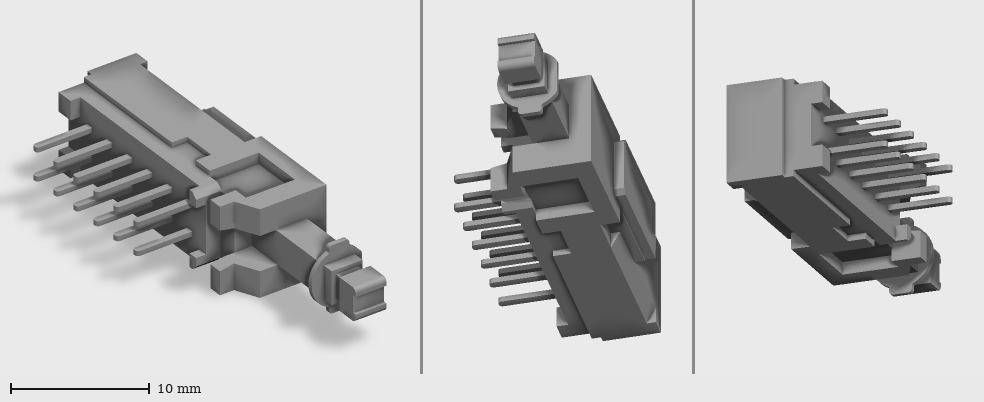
import cadquery as cq
import math


body_half_width = 7.5 / 2
cover_end = 16.25
cover_front = 2.25
cover_back = 7.25
cover_nose_length = 0.52
cover_nose_front = 2.92
cover_tab_length = 1.4
cover_bevel_start = 6.55
rear_opening_start = 11.5
notch_top = 3.6

frame_start = 14.5
frame_end = 22.65
frame_back = 8.03
pocket_end = 20.77
pocket_half_width = 2.8
gap_roof = 2.15
foot_start = 19.5
foot_end = 20.7
ramp_foot_y = 1.25
slot_half_width = 1.5
foot_taper = 0.23

base_half_width = 3.28
base_start = 0.52
base_end = 17.7
base_face = 0.88
base_corner_chamfer = 0.45
rear_foot_end = 2.0
rear_foot_inner = 1.62
front_foot_start = 16.9
front_foot_inner = 2.1

plate_start = 7.45
inner_plate_half_width = 2.5
outer_plate_half_width = 2.4
plate_back = 8.8
plate_chamfer = 0.4

pin_count = 6
first_pin_x = 3.2
pin_pitch = 2.5
pin_row_z = 1.25
pin_width = 0.62
pin_thickness = 0.42
pin_tip_y = -4.0
pin_tip_radius = 0.25

plunger_axis_y = 5.0
plunger_half_height = 1.35
plunger_half_width = 1.43
neck_start = 29.5
neck_end = 30.5
neck_half_height = 0.98
neck_half_width = 1.05
plunger_end = 32.5
tip_radius = 0.4
tip_notch_depth = 0.3
tip_notch_half_width = 0.75

clip_start = 28.1
clip_thickness = 0.42
clip_radius = 2.45
clip_flat_offset = 2.0
ear_half_height = 0.88
ear_reach = 2.9
ear_corner_radius = 0.25
ear_root_radius = 0.13


def block(x0, x1, y0, y1, z0, z1):
    """Axis-aligned box given by its limits."""
    return cq.Workplane("XY").box(x1 - x0, y1 - y0, z1 - z0, centered=False).translate((x0, y0, z0))


def slab(x0, x1, y0, y1, half_width):
    """Box centred on the symmetry plane."""
    return block(x0, x1, y0, y1, -half_width, half_width)


def prism_along_z(points, half_width):
    """Outline in X and Y, extruded evenly to both sides of Z = 0."""
    return cq.Workplane("XY").polyline(points).close().extrude(half_width, both=True)


def both_sides(solid):
    """The solid together with its mirror image in Z = 0."""
    return solid.union(solid.mirror("XY"))


def make_cover():
    cover = slab(0, cover_end, cover_front, cover_back, body_half_width)
    cover = cover.cut(slab(0, cover_nose_length, cover_front, cover_nose_front, body_half_width))
    bevel = (
        cq.Workplane("YZ")
        .polyline([
            (cover_bevel_start, body_half_width),
            (cover_back, body_half_width),
            (cover_back, inner_plate_half_width),
        ])
        .close()
        .extrude(rear_opening_start - cover_tab_length)
        .translate((cover_tab_length, 0, 0))
    )
    opening = block(
        rear_opening_start, frame_start, cover_bevel_start, cover_back,
        inner_plate_half_width, body_half_width,
    )
    notch = block(
        rear_opening_start, frame_start, cover_front, notch_top,
        base_half_width, body_half_width,
    )
    return cover.cut(both_sides(bevel.union(opening).union(notch)))


def make_frame():
    frame = prism_along_z(
        [
            (frame_start, cover_front),
            (foot_start, cover_front),
            (foot_start, 0),
            (foot_end, 0),
            (foot_end, ramp_foot_y),
            (frame_end, gap_roof),
            (frame_end, frame_back),
            (frame_start, frame_back),
        ],
        body_half_width,
    )
    pocket = block(
        cover_end, pocket_end, cover_front, cover_bevel_start,
        pocket_half_width, body_half_width,
    )
    frame = frame.cut(both_sides(pocket))
    frame = frame.union(slab(cover_end, foot_start, gap_roof, cover_front, pocket_half_width))
    slot_back = plunger_axis_y + plunger_half_height
    slot = (
        cq.Workplane("YZ")
        .polyline([
            (0, -slot_half_width - foot_taper),
            (ramp_foot_y, -slot_half_width),
            (slot_back, -slot_half_width),
            (slot_back, slot_half_width),
            (ramp_foot_y, slot_half_width),
            (0, slot_half_width + foot_taper),
        ])
        .close()
        .extrude(frame_end - foot_start)
        .translate((foot_start, 0, 0))
    )
    return frame.cut(slot)


def make_base():
    base = (
        slab(base_start, base_end, 0, cover_front, base_half_width)
        .edges("|Y and >X")
        .chamfer(base_corner_chamfer)
    )
    base = base.cut(slab(rear_foot_end, front_foot_start, 0, base_face, base_half_width))
    base = base.cut(slab(base_start, rear_foot_end, 0, base_face, rear_foot_inner))
    return base.cut(slab(front_foot_start, base_end, 0, base_face, front_foot_inner))


def make_back_plates():
    inner = slab(plate_start, frame_start, cover_bevel_start, frame_back, inner_plate_half_width)
    outer = (
        slab(plate_start, cover_end, frame_back, plate_back, outer_plate_half_width)
        .edges("|Y and >X")
        .chamfer(plate_chamfer)
    )
    return inner.union(outer)


def make_pin(x, z):
    pin = slab(-pin_width / 2, pin_width / 2, pin_tip_y, base_face, pin_thickness / 2)
    return pin.edges("|Z and <Y").fillet(pin_tip_radius).translate((x, 0, z))


def plunger_length(x0, x1, half_height, half_width):
    """Rectangular length of the plunger, centred on its axis."""
    return slab(x0, x1, plunger_axis_y - half_height, plunger_axis_y + half_height, half_width)


def make_plunger():
    shaft = plunger_length(foot_start, neck_start, plunger_half_height, plunger_half_width)
    neck = plunger_length(neck_start, neck_end, neck_half_height, neck_half_width)
    notch_floor = plunger_end - tip_notch_depth
    head = (
        plunger_length(neck_end, plunger_end, plunger_half_height, plunger_half_width)
        .faces(">X")
        .edges("|Y")
        .fillet(tip_radius)
        .cut(plunger_length(notch_floor, plunger_end, plunger_half_height, tip_notch_half_width))
    )
    return shaft.union(neck).union(head)


def make_clip():
    disc = cq.Workplane("YZ").circle(clip_radius).extrude(clip_thickness)
    back_flat = slab(0, clip_thickness, clip_flat_offset, clip_radius, clip_radius)
    ears = (
        cq.Workplane("YZ")
        .rect(2 * ear_half_height, 2 * ear_reach)
        .extrude(clip_thickness)
        .edges("|X")
        .fillet(ear_corner_radius)
    )
    clip = disc.cut(back_flat).union(ears)
    root_z = math.sqrt(clip_radius**2 - ear_half_height**2)
    for z in (-root_z, root_z):
        for y in (-ear_half_height, ear_half_height):
            root_edge = cq.selectors.NearestToPointSelector((clip_thickness / 2, y, z))
            clip = clip.edges(root_edge).fillet(ear_root_radius)
    return clip.translate((clip_start, plunger_axis_y, 0))


result = make_cover().union(make_frame()).union(make_base()).union(make_back_plates())
for index in range(pin_count):
    pin_x = first_pin_x + index * pin_pitch
    for row_z in (-pin_row_z, pin_row_z):
        result = result.union(make_pin(pin_x, row_z))
result = result.union(make_plunger()).union(make_clip())